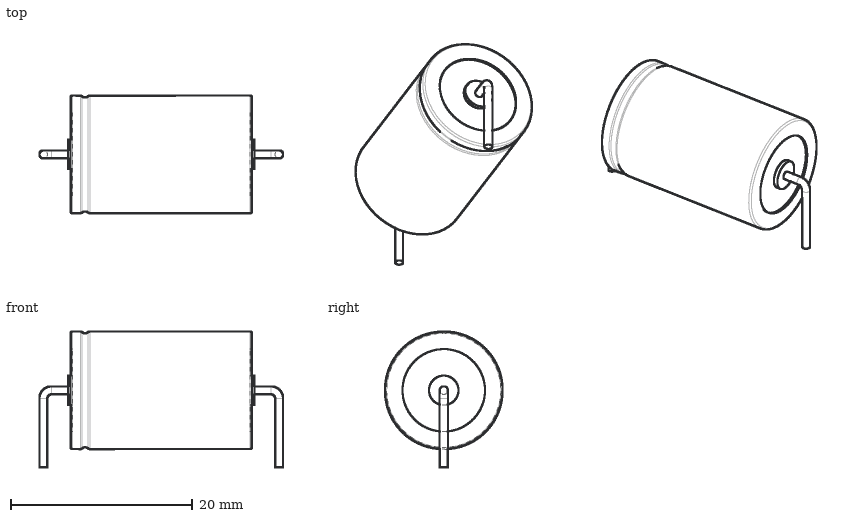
import cadquery as cq


can_length = 20.0
can_diameter = 13.0
can_radius = can_diameter / 2
can_edge_fillet = 0.2

groove_offset = 1.2
groove_width = 0.8
groove_depth = 0.2
groove_lip_fillet = 0.3

recess_diameter = 0.7 * can_diameter
recess_depth = 0.2

seal_diameter = can_diameter / 4
seal_height = 0.27

lead_diameter = 0.9
lead_pitch = 26.0
lead_bend_radius = lead_diameter
lead_drop = can_radius + 2.0

half_length = can_length / 2
recess_floor = half_length - recess_depth


def make_can():
    """Revolve the can profile and round the groove lips and the end rims."""
    groove_start = -half_length + groove_offset
    groove_end = groove_start + groove_width
    groove_middle = groove_start + groove_width / 2
    can = (
        cq.Workplane("XZ")
        .moveTo(-half_length, 0)
        .lineTo(-half_length, can_radius)
        .lineTo(groove_start, can_radius)
        .threePointArc((groove_middle, can_radius - groove_depth), (groove_end, can_radius))
        .lineTo(half_length, can_radius)
        .lineTo(half_length, 0)
        .close()
        .revolve(360, (0, 0, 0), (1, 0, 0))
    )
    margin = groove_width / 4
    groove_lips = cq.selectors.BoxSelector(
        (groove_start - margin, -can_diameter, -can_diameter),
        (groove_end + margin, can_diameter, can_diameter),
    )
    can = can.edges("%CIRCLE").edges(groove_lips).fillet(groove_lip_fillet)
    return can.faces("<X or >X").edges().fillet(can_edge_fillet)


def make_recess(side):
    """Disc to remove from the end face on the given side (-1 or +1)."""
    return (
        cq.Workplane("YZ", origin=(side * recess_floor, 0, 0))
        .circle(recess_diameter / 2)
        .extrude(side * recess_depth)
    )


def make_seal(side):
    """Seal disc standing on the recess floor and ending proud of the end face."""
    return (
        cq.Workplane("YZ", origin=(side * recess_floor, 0, 0))
        .circle(seal_diameter / 2)
        .extrude(side * (recess_depth + seal_height))
    )


def make_lead(side):
    """Round wire that leaves the can along X and bends down to -Z."""
    lead_x = side * lead_pitch / 2
    bend_start_x = lead_x - side * lead_bend_radius
    path = (
        cq.Workplane("XZ")
        .moveTo(side * recess_floor, 0)
        .lineTo(bend_start_x, 0)
        .tangentArcPoint((lead_x, -lead_bend_radius), relative=False)
        .lineTo(lead_x, -lead_drop)
    )
    section = cq.Workplane("YZ", origin=(side * recess_floor, 0, 0)).circle(lead_diameter / 2)
    return section.sweep(path)


result = make_can()
for end_side in (-1, 1):
    result = result.cut(make_recess(end_side))
    result = result.union(make_seal(end_side))
    result = result.union(make_lead(end_side))